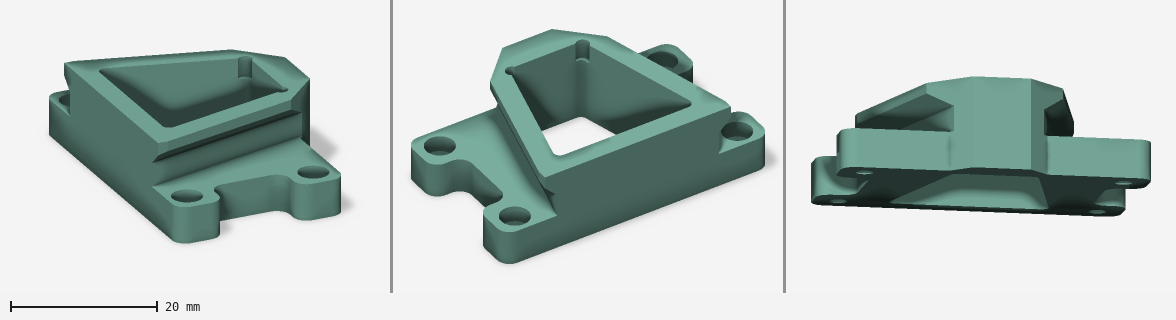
import cadquery as cq
import math

base_length = 43.0
base_depth = 25.3
base_height = 5.4
corner_radius = 2.0
notch_half_spacing = 16.43
notch_front = 7.0

hole_x = 17.97
hole_front_y = 3.0
hole_pitch_y = 19.0
hole_diameter = 2.4
counterbore_diameter = 4.4
counterbore_depth = 2.5

body_height = 12.7
body_depth = 28.1
front_half_width = 15.05
taper_start_y = 1.5
shoulder_half_width = 9.45
shoulder_y = 22.6
back_half_width = 4.0
taper_angle = math.atan2(front_half_width - shoulder_half_width, shoulder_y - taper_start_y)

lip_height = 1.45
undercut_depth = 2.3

window_front_y = 3.0
window_back_y = 23.5
window_front_half_width = 11.35
window_fillet = 1.0
relief_radius = 1.0
relief_x = 5.7
relief_y = 22.9
relief_depth = 3.0


def make_base():
    """Rectangular plate with a rounded notch in each end."""
    plate = cq.Workplane("XY").box(base_length, base_depth, base_height, centered=(True, False, False))
    notch_depth = base_length / 2 - notch_half_spacing
    notch_width = base_depth - 2 * notch_front
    notches = (
        cq.Workplane("XY")
        .pushPoints([(side * base_length / 2, base_depth / 2) for side in (-1, 1)])
        .rect(2 * notch_depth, notch_width)
        .extrude(base_height)
    )
    return plate.cut(notches).edges("|Z").fillet(corner_radius)


def make_body():
    """Full-height tapered block with a chamfered rear."""
    return (
        cq.Workplane("XY")
        .moveTo(0, 0)
        .lineTo(front_half_width, 0)
        .lineTo(front_half_width, taper_start_y)
        .lineTo(shoulder_half_width, shoulder_y)
        .lineTo(back_half_width, body_depth)
        .lineTo(0, body_depth)
        .close()
        .extrude(body_height)
        .mirror("YZ", union=True)
    )


def make_undercut():
    """45-degree undercut following the +X tapered side, from base top to lip."""
    lip_bottom = body_height - lip_height
    run_length = 2 * body_depth
    outside = body_depth / 2
    profile_plane = cq.Plane(
        origin=(shoulder_half_width, shoulder_y, 0),
        xDir=(math.cos(taper_angle), math.sin(taper_angle), 0),
        normal=(math.sin(taper_angle), -math.cos(taper_angle), 0),
    )
    return (
        cq.Workplane(profile_plane)
        .moveTo(-undercut_depth, base_height)
        .lineTo(outside, base_height)
        .lineTo(outside, lip_bottom + outside)
        .lineTo(0, lip_bottom)
        .lineTo(-undercut_depth, lip_bottom - undercut_depth)
        .close()
        .extrude(run_length, both=True)
    )


def make_window():
    """Trapezoidal opening whose sides run parallel to the body taper."""
    narrowing = (window_back_y - window_front_y) * math.tan(taper_angle)
    window_back_half_width = window_front_half_width - narrowing
    opening = (
        cq.Workplane("XY")
        .moveTo(-window_front_half_width, window_front_y)
        .lineTo(window_front_half_width, window_front_y)
        .lineTo(window_back_half_width, window_back_y)
        .lineTo(-window_back_half_width, window_back_y)
        .close()
        .extrude(body_height)
        .edges("|Z")
        .fillet(window_fillet)
    )
    reliefs = (
        cq.Workplane("XY", origin=(0, 0, body_height))
        .pushPoints([(side * relief_x, relief_y) for side in (-1, 1)])
        .circle(relief_radius)
        .extrude(-relief_depth)
    )
    return opening.union(reliefs)


body = make_body()
undercut = make_undercut()
body = body.cut(undercut).cut(undercut.mirror("YZ"))

hole_points = [(side * hole_x, hole_front_y + row * hole_pitch_y) for side in (-1, 1) for row in (0, 1)]
base = (
    make_base()
    .faces(">Z")
    .workplane(origin=(0, 0, base_height))
    .pushPoints(hole_points)
    .cboreHole(hole_diameter, counterbore_diameter, counterbore_depth)
)

result = base.union(body).cut(make_window())